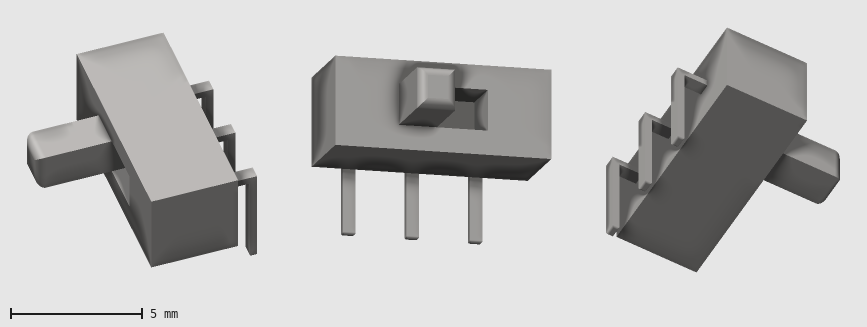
import cadquery as cq

body_length = 8.5
body_side = 3.5

slot_length = 3.5
slot_height = 1.6
slot_depth = 2.0
knob_width = 1.5
knob_reach = 3.0
knob_rounding = 0.35

pin_count = 3
pin_pitch = 2.5
pin_width = 0.5
pin_thickness = 0.3
pin_reach = 1.3
pin_drop = 2.295
pin_top = 0.15
tip_rounding = 0.09

body_bottom = -body_side / 2
pin_back = body_side + pin_reach
pin_tip = body_bottom - pin_drop


def make_housing():
    """Rectangular housing with a blind slot in its front face."""
    housing = cq.Workplane("XY").box(body_length, body_side, body_side, centered=(True, False, True))
    slot = cq.Workplane("XY").box(slot_length, slot_depth, slot_height, centered=(True, False, True))
    return housing.cut(slot)


def make_knob():
    """Slider standing on the slot floor, rounded around its outer end."""
    knob = cq.Workplane("XY").box(
        knob_width, knob_reach + slot_depth, slot_height, centered=(False, False, True)
    )
    knob = knob.translate((-slot_length / 2, -knob_reach, 0))
    return knob.faces("<Y").edges().fillet(knob_rounding)


def make_pin(x):
    """L-shaped terminal: straight out of the back face, then down."""
    profile = [
        (body_side, pin_top),
        (pin_back, pin_top),
        (pin_back, pin_tip),
        (pin_back - pin_thickness, pin_tip),
        (pin_back - pin_thickness, pin_top - pin_thickness),
        (body_side, pin_top - pin_thickness),
    ]
    pin = cq.Workplane("YZ").polyline(profile).close().extrude(pin_width / 2, both=True)
    return pin.faces("<Z").edges().fillet(tip_rounding).translate((x, 0, 0))


result = make_housing().union(make_knob())
for index in range(pin_count):
    result = result.union(make_pin((index - (pin_count - 1) / 2) * pin_pitch))